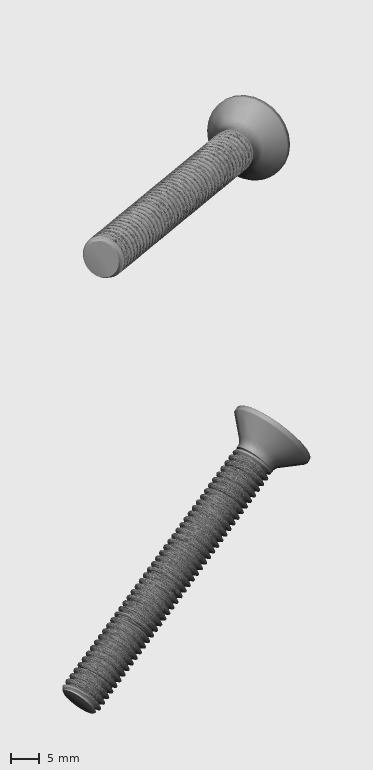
import cadquery as cq
import math

length = 60.0

head_diameter = 15.8
head_radius = head_diameter / 2
rim_height = 0.95
rim_round = 0.25
cone_half_angle = math.radians(45)

neck_diameter = 7.55
neck_radius = neck_diameter / 2
neck_blend_radius = 2.05
neck_end = 6.7

major_diameter = 8.0
major_radius = major_diameter / 2
pitches_in_length = 48
pitch = length / pitches_in_length
flank_half_angle = math.radians(30)
crest_flat = pitch / 8
root_flat = pitch / 4
thread_depth = (pitch - crest_flat - root_flat) / 2 / math.tan(flank_half_angle)
root_radius = major_radius - thread_depth

thread_start = 6.2
full_thread_start = 7.3
groove_depth_at_x = 6.95
run_in_end = 7.4
tip_start = 58.8
tip_chamfer_depth = 0.55
tip_chamfer_length = 0.9
envelope_overrun = 0.6


def turned(outline):
    """Solid of revolution about the screw axis from (radius, depth) points."""
    return cq.Workplane("XZ").polyline(outline).close().revolve(360, (0, 0, 0), (0, 1, 0))


def make_head():
    """Countersunk head with its neck, ending where the thread begins."""
    sharp_corner = rim_height + (head_radius - neck_radius) / math.tan(cone_half_angle)
    tangent_length = neck_blend_radius * math.tan(cone_half_angle / 2)
    blend_start_radius = neck_radius + tangent_length * math.sin(cone_half_angle)
    blend_start = sharp_corner - tangent_length * math.cos(cone_half_angle)
    blend_end = sharp_corner + tangent_length
    blend_centre_radius = neck_radius + neck_blend_radius
    blend_mid_radius = blend_centre_radius - neck_blend_radius * math.cos(cone_half_angle / 2)
    blend_mid = blend_end - neck_blend_radius * math.sin(cone_half_angle / 2)

    head = (
        cq.Workplane("XZ")
        .lineTo(head_radius, 0)
        .lineTo(head_radius, rim_height)
        .lineTo(blend_start_radius, blend_start)
        .threePointArc((blend_mid_radius, blend_mid), (neck_radius, blend_end))
        .lineTo(neck_radius, thread_start)
        .lineTo(0, thread_start)
        .close()
        .revolve(360, (0, 0, 0), (0, 1, 0))
    )
    rim_edges = head.edges("%CIRCLE").edges(cq.selectors.RadiusNthSelector(-1))
    return rim_edges.fillet(rim_round)


def thread_length(start, end):
    """Stretch of threaded rod: one cross-section twisted a full turn per pitch."""
    root_edge_angle = math.pi * root_flat / pitch
    crest_edge_angle = math.pi - math.pi * crest_flat / pitch

    def flank(side):
        def point(t):
            angle = side * (root_edge_angle + t * (crest_edge_angle - root_edge_angle))
            radius = root_radius + t * thread_depth
            return (radius * math.cos(angle), radius * math.sin(angle))

        return point

    upper_flank = flank(1)
    lower_flank = flank(-1)
    section = (
        cq.Workplane("XY")
        .moveTo(*lower_flank(0))
        .threePointArc((root_radius, 0), upper_flank(0))
        .parametricCurve(upper_flank, N=20, makeWire=False)
        .moveTo(*upper_flank(1))
        .threePointArc((-major_radius, 0), lower_flank(1))
        .parametricCurve(lambda t: lower_flank(1 - t), N=20, makeWire=False)
        .close()
    )
    start_angle = 360 * (start - groove_depth_at_x) / pitch
    return (
        section.twistExtrude(end - start, 360 * (end - start) / pitch)
        .rotate((0, 0, 0), (0, 0, 1), start_angle)
        .translate((0, 0, start))
    )


def make_run_in():
    """First turn of thread, growing from the neck radius to the full radius."""
    growth = (major_radius - neck_radius) / (full_thread_start - neck_end)
    top = thread_start - envelope_overrun
    bottom = run_in_end + envelope_overrun
    bottom_radius = neck_radius + growth * (bottom - neck_end)
    envelope = turned(
        [(0, top), (neck_radius, top), (neck_radius, neck_end), (bottom_radius, bottom), (0, bottom)]
    )
    return thread_length(thread_start, run_in_end).intersect(envelope)


def make_tip():
    """Last turn of thread, trimmed by the end chamfer."""
    taper = tip_chamfer_depth / tip_chamfer_length
    chamfer_start = length - tip_chamfer_length
    top = tip_start - envelope_overrun
    bottom = length + envelope_overrun
    top_radius = major_radius + taper * (chamfer_start - top)
    bottom_radius = major_radius - taper * (bottom - chamfer_start)
    envelope = turned([(0, top), (top_radius, top), (bottom_radius, bottom), (0, bottom)])
    return thread_length(tip_start, length).intersect(envelope)


full_thread = thread_length(run_in_end, tip_start)
screw = make_head().union(make_run_in()).union(full_thread, clean=False).union(make_tip(), clean=False)
result = screw.rotate((0, 0, 0), (1, 0, 0), 90)